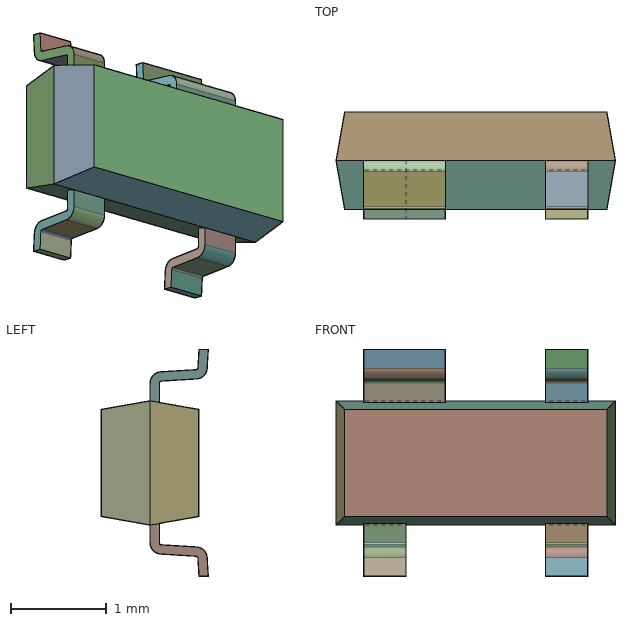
import cadquery as cq
import math

BODY_LENGTH = 2.92
BODY_HEIGHT = 1.3
BODY_THICKNESS = 1.022
DRAFT_ANGLE = 10.0

LEAD_THICKNESS = 0.1
LEAD_TIP_Z = 1.185
LEAD_TIP_DEPTH = 0.61
SHOULDER_Z = 0.945
LEAD_TILT = 3.5
INNER_BEND_RADIUS = 0.02
OUTER_BEND_RADIUS = INNER_BEND_RADIUS + LEAD_THICKNESS
NARROW_WIDTH = 0.445
WIDE_WIDTH = 0.853
LEAD_OUTER_X = 1.17

HALF_THICKNESS = BODY_THICKNESS / 2
HALF_HEIGHT = BODY_HEIGHT / 2
DRAFT_SLOPE = math.tan(math.radians(DRAFT_ANGLE))
TILT_SLOPE = math.tan(math.radians(LEAD_TILT))
TILTED_THICKNESS = LEAD_THICKNESS / math.cos(math.radians(LEAD_TILT))


def make_housing():
    mid_plane = cq.Workplane("XZ").rect(BODY_LENGTH, BODY_HEIGHT)
    front_half = mid_plane.extrude(HALF_THICKNESS, taper=DRAFT_ANGLE)
    back_half = front_half.mirror("XZ")
    return front_half.union(back_half)


def leg_height(depth, drop):
    """Z of a leg face; drop is 0 for the top face."""
    return SHOULDER_Z - drop + TILT_SLOPE * depth


def foot_depth(z, inset):
    """Distance of a foot face in front of the mid plane; inset is 0 for the front face."""
    return LEAD_TIP_DEPTH - inset - TILT_SLOPE * (LEAD_TIP_Z - z)


def leg_foot_corner(drop, inset):
    """Sharp corner (Y, Z) where a leg face meets a foot face."""
    depth = foot_depth(leg_height(0, drop), inset) / (1 - TILT_SLOPE**2)
    return (-depth, leg_height(depth, drop))


def make_upper_lead(x_min, width):
    """Lead on the +Z side, its root lying flush on the drafted housing wall."""
    shoulder_outer = (0, SHOULDER_Z)
    shoulder_inner = (-LEAD_THICKNESS, leg_height(LEAD_THICKNESS, TILTED_THICKNESS))
    heel_inner = leg_foot_corner(0, TILTED_THICKNESS)
    heel_outer = leg_foot_corner(TILTED_THICKNESS, 0)
    outline = [
        (0, HALF_HEIGHT),
        shoulder_outer,
        heel_inner,
        (-foot_depth(LEAD_TIP_Z, TILTED_THICKNESS), LEAD_TIP_Z),
        (-LEAD_TIP_DEPTH, LEAD_TIP_Z),
        heel_outer,
        shoulder_inner,
        (-LEAD_THICKNESS, HALF_HEIGHT - LEAD_THICKNESS * DRAFT_SLOPE),
    ]
    lead = cq.Workplane("YZ", origin=(x_min, 0, 0)).polyline(outline).close().extrude(width)
    bends = [
        (shoulder_outer, OUTER_BEND_RADIUS),
        (shoulder_inner, INNER_BEND_RADIUS),
        (heel_outer, OUTER_BEND_RADIUS),
        (heel_inner, INNER_BEND_RADIUS),
    ]
    for (y, z), radius in bends:
        corner_edge = cq.selectors.NearestToPointSelector((x_min + width / 2, y, z))
        lead = lead.edges(corner_edge).fillet(radius)
    return lead


def make_lower_lead(x_min, width):
    return make_upper_lead(x_min, width).mirror("XY")


housing = make_housing()

wide_lead = make_upper_lead(-LEAD_OUTER_X, WIDE_WIDTH)

RIGHT_LEAD_X = LEAD_OUTER_X - NARROW_WIDTH
narrow_leads = [make_upper_lead(RIGHT_LEAD_X, NARROW_WIDTH)]
for lead_x in (-LEAD_OUTER_X, RIGHT_LEAD_X):
    narrow_leads.append(make_lower_lead(lead_x, NARROW_WIDTH))

result = cq.Compound.makeCompound(
    [housing.val(), wide_lead.val(), *[lead.val() for lead in narrow_leads]]
)